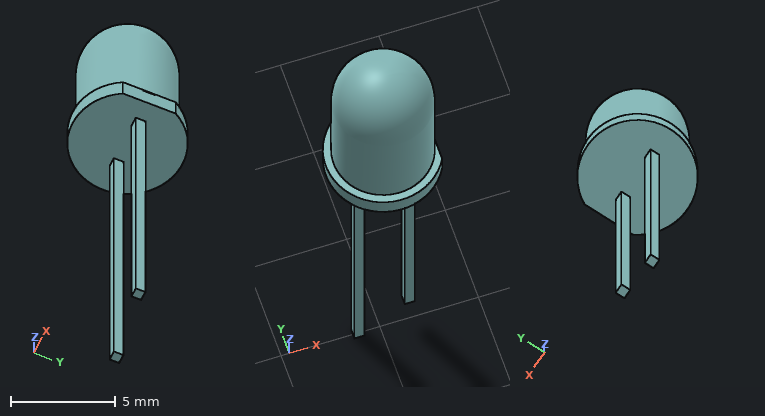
import cadquery as cq

total_height = 25.5
lens_diameter = 5.0
lens_straight_height = 5.0
flange_diameter = 5.8
overall_width = 5.43
flange_height = 1.0

lead_width = 0.5
lead_spacing = 2.55
lead_length_difference = 2.0

lens_radius = lens_diameter / 2
flat_distance = overall_width - flange_diameter / 2
dome_base = flange_height + lens_straight_height
lens_top = dome_base + lens_radius
long_lead_length = total_height - lens_top
short_lead_length = long_lead_length - lead_length_difference


def make_lens():
    """Cylindrical lens with a hemispherical dome, revolved about Z."""
    dome_mid = lens_radius * 0.5 ** 0.5
    return (
        cq.Workplane("XZ")
        .lineTo(lens_radius, 0)
        .lineTo(lens_radius, dome_base)
        .threePointArc((dome_mid, dome_base + dome_mid), (0, lens_top))
        .close()
        .revolve(360, (0, 0), (0, 1))
    )


def make_flange():
    """Round base flange with a flat on the +X side."""
    disc = cq.Workplane("XY").circle(flange_diameter / 2).extrude(flange_height)
    flat_cutter = (
        cq.Workplane("XY")
        .box(flange_diameter, flange_diameter, flange_height, centered=(False, True, False))
        .translate((flat_distance, 0, 0))
    )
    return disc.cut(flat_cutter)


def make_lead(x_position, length):
    """Square lead hanging down from the flange."""
    return cq.Workplane("XY").center(x_position, 0).rect(lead_width, lead_width).extrude(-length)


result = make_flange().union(make_lens())
for x_position, length in (
    (-lead_spacing / 2, long_lead_length),
    (lead_spacing / 2, short_lead_length),
):
    result = result.union(make_lead(x_position, length))